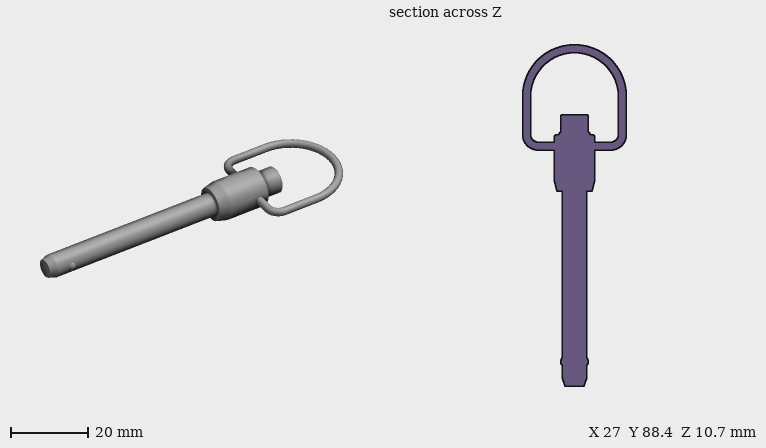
import cadquery as cq
import math


shank_radius = 3.175
shank_length = 50.4
tip_radius = 2.5
tip_taper_length = 2.0

ball_radius = 1.35
ball_offset_x = 2.3
ball_from_tip = 6.4

collar_radius = 5.335
collar_length = 14.65
collar_front_radius = 4.6
collar_taper_length = 2.95
collar_rear_chamfer = 0.45

button_radius = 3.6
button_top_y = 19.9
button_chamfer = 0.3
skirt_radius = 4.25
skirt_height = 0.8

wire_radius = 1.1
ring_width = 27.0
ring_top_y = 37.97
ring_cross_y = 11.67
ring_bend_radius = 3.1

ring_half_width = ring_width / 2 - wire_radius
ring_arch_y = ring_top_y - ring_width / 2


def make_body():
    """Shank, collar and button as one half profile (radius, y) turned about the Y axis."""
    profile = [
        (0, -shank_length),
        (tip_radius, -shank_length),
        (shank_radius, -shank_length + tip_taper_length),
        (shank_radius, 0),
        (collar_front_radius, 0),
        (collar_radius, collar_taper_length),
        (collar_radius, collar_length - collar_rear_chamfer),
        (collar_radius - collar_rear_chamfer, collar_length),
        (skirt_radius, collar_length),
        (button_radius, collar_length + skirt_height),
        (button_radius, button_top_y - button_chamfer),
        (button_radius - button_chamfer, button_top_y),
        (0, button_top_y),
    ]
    return cq.Workplane("XY").polyline(profile).close().revolve(360, (0, 0, 0), (0, 1, 0))


def make_ball(side):
    """One locking ball; side is -1 or +1 along X."""
    ball_y = -shank_length + ball_from_tip
    return cq.Workplane("XY").sphere(ball_radius).translate((side * ball_offset_x, ball_y, 0))


def make_ring():
    """D-shaped wire ring whose straight bar passes through the collar."""
    bend_x = ring_half_width - ring_bend_radius
    bend_y = ring_cross_y + ring_bend_radius
    bend_middle_offset = ring_bend_radius / math.sqrt(2)
    bend_middle_x = bend_x + bend_middle_offset
    bend_middle_y = bend_y - bend_middle_offset
    path = (
        cq.Workplane("XY")
        .moveTo(0, ring_cross_y)
        .lineTo(bend_x, ring_cross_y)
        .threePointArc((bend_middle_x, bend_middle_y), (ring_half_width, bend_y))
        .lineTo(ring_half_width, ring_arch_y)
        .threePointArc((0, ring_arch_y + ring_half_width), (-ring_half_width, ring_arch_y))
        .lineTo(-ring_half_width, bend_y)
        .threePointArc((-bend_middle_x, bend_middle_y), (-bend_x, ring_cross_y))
        .close()
    )
    return cq.Workplane("YZ").center(ring_cross_y, 0).circle(wire_radius).sweep(path)


result = make_body().union(make_ring())
for side in (-1, 1):
    result = result.union(make_ball(side))